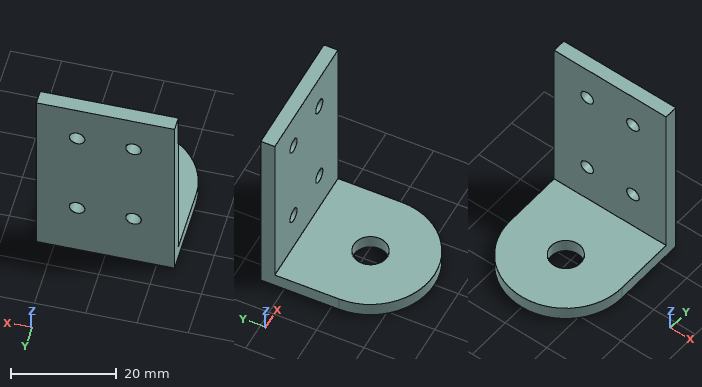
import cadquery as cq

width = 27.0
depth = 30.0
height = 40.0
thickness = 3.0

pivot_hole_diameter = 7.0
screw_hole_diameter = 3.0
screw_spacing_x = 11.0
screw_spacing_z = 20.0
lower_screw_height = 12.0

end_radius = width / 2
back_y = depth - end_radius
screw_center_z = lower_screw_height + screw_spacing_z / 2


def make_base():
    """Horizontal plate with a round front end and a concentric hole."""
    plate = (
        cq.Workplane("XY")
        .moveTo(-end_radius, back_y)
        .lineTo(-end_radius, 0)
        .threePointArc((0, -end_radius), (end_radius, 0))
        .lineTo(end_radius, back_y)
        .close()
        .extrude(thickness)
    )
    hole = cq.Workplane("XY").circle(pivot_hole_diameter / 2).extrude(thickness)
    return plate.cut(hole)


def make_wall():
    """Upright plate along the back edge with four screw holes."""
    plate = cq.Workplane("XY").box(width, thickness, height, centered=(True, False, False))
    plate = plate.translate((0, back_y - thickness, 0))
    holes = (
        cq.Workplane("XZ", origin=(0, back_y, screw_center_z))
        .rarray(screw_spacing_x, screw_spacing_z, 2, 2)
        .circle(screw_hole_diameter / 2)
        .extrude(thickness)
    )
    return plate.cut(holes)


result = make_base().union(make_wall())